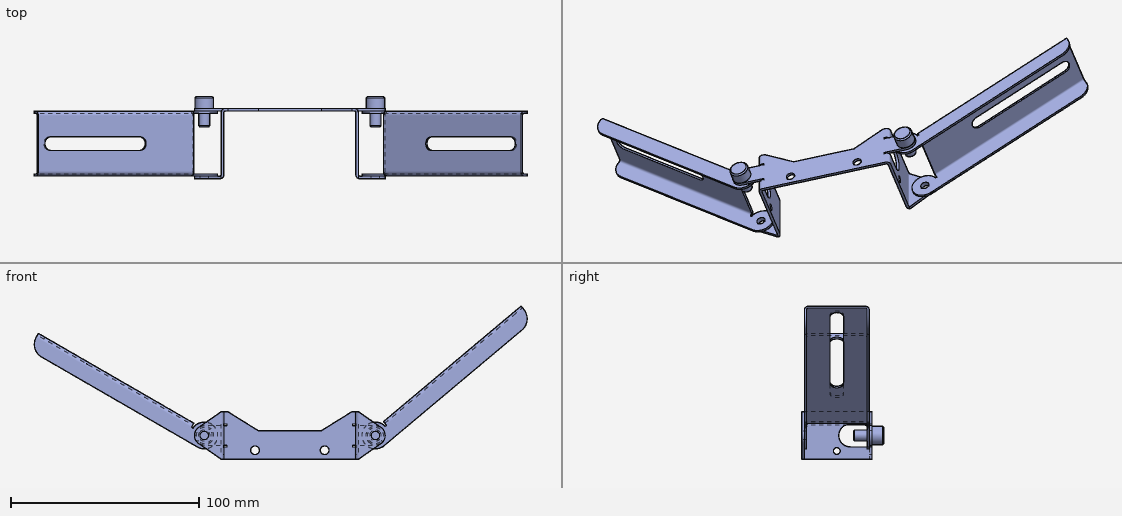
import cadquery as cq
import math

bracket_depth = 37.5
bracket_height = 25.3
sheet = 1.5
bend_inner = 0.8
bend_outer = bend_inner + sheet
side_outer_x = 36.5
side_inner_x = side_outer_x - sheet
back_y = bracket_depth / 2
waist_height = 15.2
waist_half_width = 16.7
shoulder_half_width = 32.9
mount_hole_diameter = 4.5
mount_hole_x = 18.5
mount_hole_z = 4.8
side_hole_diameter = 3.5
side_hole_z = 4.4

pivot_x = 45.5
pivot_z = bracket_height / 2
pivot_hole_diameter = 4.5
lug_radius = 5.2

window_radius = 6.0
window_tip_y = 1.1
window_relief = 0.8
window_start_x = side_inner_x - bend_inner - window_relief

arm_sheet = 1.2
arm_bend_inner = 1.3
arm_bend_outer = arm_bend_inner + arm_sheet
arm_width = bracket_depth - 2 * sheet
arm_length = 103.48
arm_top = 2.95
arm_end_radius = 7.15
arm_web_start = 8.0
arm_corner_radius = 7.8
left_arm_angle = 30.0
right_arm_angle = 40.0
slot_width = 7.2
slot_start = 37.3
slot_end = 99.4

screw_diameter = 6.0
screw_length = 10.0
screw_head_diameter = 10.0
screw_head_height = 6.29
screw_chamfer = 0.75


def xz_plane(y):
    """Sketch plane facing -Y at the given Y, so local x and y are X and Z."""
    return cq.Workplane("XZ", origin=(0, y, 0))


def cylinder_y(x, z, radius, front_y, rear_y):
    return xz_plane(rear_y).center(x, z).circle(radius).extrude(rear_y - front_y)


def mirrored_pair(shape):
    return shape.union(shape.mirror("YZ"))


def bracket_strip():
    """Right-hand half of the folded strip: back plate, side plate and front lug strip."""
    lug_end_x = pivot_x + lug_radius
    strip = (
        cq.Workplane("XY")
        .moveTo(0, back_y)
        .lineTo(side_outer_x - bend_outer, back_y)
        .radiusArc((side_outer_x, back_y - bend_outer), bend_outer)
        .lineTo(side_outer_x, -back_y + bend_outer)
        .radiusArc((side_outer_x + bend_inner, -back_y + sheet), -bend_inner)
        .lineTo(lug_end_x, -back_y + sheet)
        .lineTo(lug_end_x, -back_y)
        .lineTo(side_inner_x + bend_outer, -back_y)
        .radiusArc((side_inner_x, -back_y + bend_outer), bend_outer)
        .lineTo(side_inner_x, back_y - bend_outer)
        .radiusArc((side_inner_x - bend_inner, back_y - sheet), -bend_inner)
        .lineTo(0, back_y - sheet)
        .close()
        .extrude(bracket_height)
    )
    return strip


def bracket_outline():
    """Right-hand half of the bracket silhouette, tapering tangentially to the lug."""
    reach = pivot_x - side_outer_x
    distance = math.hypot(reach, pivot_z)
    taper = math.atan2(pivot_z, reach) - math.asin(lug_radius / distance)
    tangent_x = pivot_x + lug_radius * math.sin(taper)
    tangent_drop = lug_radius * math.cos(taper)
    outline = (
        xz_plane(back_y)
        .lineTo(side_outer_x, 0)
        .lineTo(tangent_x, pivot_z - tangent_drop)
        .threePointArc((pivot_x + lug_radius, pivot_z), (tangent_x, pivot_z + tangent_drop))
        .lineTo(side_outer_x, bracket_height)
        .lineTo(shoulder_half_width, bracket_height)
        .lineTo(waist_half_width, waist_height)
        .lineTo(0, waist_height)
        .close()
        .extrude(bracket_depth)
    )
    return outline


def side_window():
    """Round-ended window through the side plate, running into the back plate."""
    window_length = side_outer_x - window_start_x
    window_centre_y = window_tip_y + window_radius
    rounded_end = (
        cq.Workplane("YZ", origin=(window_start_x, window_centre_y, pivot_z))
        .circle(window_radius)
        .extrude(window_length)
    )
    straight = cq.Workplane("XY").box(
        window_length, back_y - window_centre_y, 2 * window_radius, centered=(False, False, True)
    )
    return rounded_end.union(straight.translate((window_start_x, window_centre_y, pivot_z)))


def rear_lug():
    """Tongue in the plane of the back plate that carries the screw."""
    tongue = cq.Workplane("XY").box(
        pivot_x - window_start_x, sheet, 2 * lug_radius, centered=(False, False, True)
    )
    tongue = tongue.translate((window_start_x, back_y - sheet, pivot_z))
    return tongue.union(cylinder_y(pivot_x, pivot_z, lug_radius, back_y - sheet, back_y))


def bracket():
    half = bracket_strip().intersect(bracket_outline())
    half = half.cut(side_window()).union(rear_lug())
    half = half.cut(cylinder_y(mount_hole_x, mount_hole_z, mount_hole_diameter / 2, -back_y, back_y))
    side_hole = (
        cq.Workplane("YZ", origin=(side_inner_x, 0, side_hole_z))
        .circle(side_hole_diameter / 2)
        .extrude(sheet)
    )
    return mirrored_pair(half.cut(side_hole))


def arm_channel():
    """Channel along +X with its web on top, pivot axis at the origin."""
    height = arm_top + arm_end_radius
    length = arm_length - arm_web_start
    middle = ((arm_web_start + arm_length) / 2, 0, arm_top - height / 2)
    outer = cq.Workplane("XY").box(length, arm_width, height)
    outer = outer.edges("|X and >Z").fillet(arm_bend_outer)
    inner = cq.Workplane("XY").box(length, arm_width - 2 * arm_sheet, height)
    inner = inner.edges("|X and >Z").fillet(arm_bend_inner).translate((0, 0, -arm_sheet))
    channel = outer.cut(inner).translate(middle)
    return channel.edges("|Y and >X and <Z").fillet(arm_corner_radius)


def arm_pivot_ears():
    """Flange ends with a full round about the pivot axis."""
    half_width = arm_width / 2
    flat_height = arm_top - arm_bend_outer + arm_end_radius
    ears = cylinder_y(0, 0, arm_end_radius, -half_width, half_width)
    neck = cq.Workplane("XY").box(arm_web_start, arm_width, flat_height, centered=(False, True, False))
    ears = ears.union(neck.translate((0, 0, -arm_end_radius)))
    gap_width = arm_width - 2 * arm_sheet
    gap = cq.Workplane("XY").box(4 * arm_end_radius, gap_width, 4 * arm_end_radius)
    return ears.cut(gap)


def arm(angle):
    """Right-hand arm raised by the given angle about its pivot."""
    slot = (
        cq.Workplane("XY", origin=((slot_start + slot_end) / 2, 0, arm_top - arm_sheet))
        .slot2D(slot_end - slot_start, slot_width)
        .extrude(arm_sheet)
    )
    body = arm_channel().cut(slot).union(arm_pivot_ears())
    return body.rotate((0, 0, 0), (0, 1, 0), -angle).translate((pivot_x, 0, pivot_z))


def screw():
    """Right-hand pivot screw, head seated on the rear lug."""
    head = cylinder_y(pivot_x, pivot_z, screw_head_diameter / 2, back_y, back_y + screw_head_height)
    head = head.faces(">Y").chamfer(screw_chamfer)
    shank = cylinder_y(pivot_x, pivot_z, screw_diameter / 2, back_y - screw_length, back_y)
    shank = shank.faces("<Y").chamfer(screw_chamfer)
    return head.union(shank)


arms = arm(right_arm_angle).union(arm(left_arm_angle).mirror("YZ"))
front_pivot_end_y = -back_y + sheet + arm_sheet
front_pivot_hole = cylinder_y(pivot_x, pivot_z, pivot_hole_diameter / 2, -back_y, front_pivot_end_y)
result = bracket().union(arms).cut(mirrored_pair(front_pivot_hole))
result = result.union(mirrored_pair(screw())).clean()